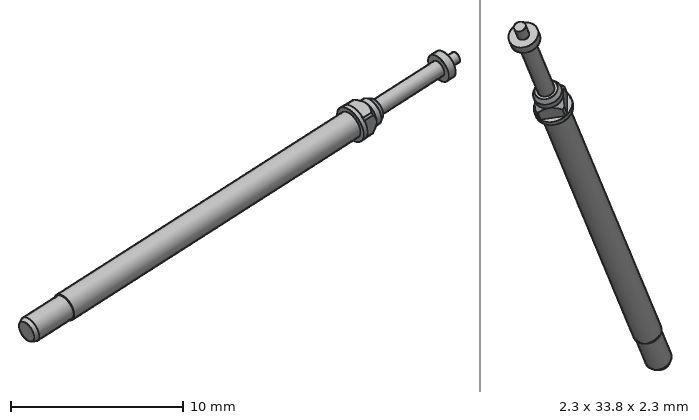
import cadquery as cq

total_length = 33.85
front_end = total_length / 2
rear_end = -total_length / 2

pin_diameter = 0.7
pin_length = 0.85
disc_diameter = 1.8
disc_thickness = 0.55
stem_diameter = 1.0
stem_length = 4.98

nose_diameter = 1.73
nose_length = 0.68
nose_taper_length = 0.3
nose_taper_depth = 0.17

wrench_blank_diameter = 2.27
wrench_length = 0.98
wrench_cone_length = 0.3
wrench_across_flats = 1.73

collar_diameter = 2.3
collar_thickness = 0.3
barrel_diameter = 1.73
tail_diameter = 1.6
tail_length = 2.98
tail_chamfer_length = 0.27
tail_chamfer_depth = 0.15

disc_front = front_end - pin_length
stem_front = disc_front - disc_thickness
nose_front = stem_front - stem_length
wrench_front = nose_front - nose_length
collar_front = wrench_front - wrench_length
barrel_front = collar_front - collar_thickness
tail_front = rear_end + tail_length


def rod(diameter, front, rear):
    """Round bar along Y between two stations."""
    return cq.Workplane("XZ", origin=(0, front, 0)).circle(diameter / 2).extrude(front - rear)


def make_plunger():
    pin = rod(pin_diameter, front_end, disc_front)
    disc = rod(disc_diameter, disc_front, stem_front)
    stem = rod(stem_diameter, stem_front, nose_front)
    return pin.union(disc).union(stem)


def make_nose():
    nose = rod(nose_diameter, nose_front, wrench_front)
    return nose.faces(">Y").chamfer(nose_taper_length, nose_taper_depth)


def make_wrench_section():
    cone_depth = (wrench_blank_diameter - nose_diameter) / 2
    blank = rod(wrench_blank_diameter, wrench_front, collar_front)
    blank = blank.faces(">Y").chamfer(wrench_cone_length, cone_depth)
    square = (
        cq.Workplane("XZ", origin=(0, wrench_front, 0))
        .rect(wrench_across_flats, wrench_across_flats)
        .extrude(wrench_length)
    )
    return blank.intersect(square)


def make_barrel():
    collar = rod(collar_diameter, collar_front, barrel_front)
    barrel = rod(barrel_diameter, barrel_front, tail_front)
    tail = rod(tail_diameter, tail_front, rear_end)
    tail = tail.faces("<Y").chamfer(tail_chamfer_length, tail_chamfer_depth)
    return collar.union(barrel).union(tail)


result = make_plunger().union(make_nose()).union(make_wrench_section()).union(make_barrel())